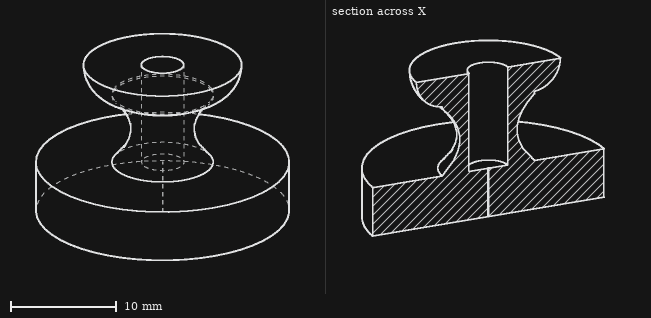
import cadquery as cq

base_diameter = 24.0
base_height = 5.0
total_height = 15.0
head_diameter = 15.0
head_height = 3.0
neck_end_diameter = 9.6
neck_waist_diameter = 6.0
collar_height = 0.2
bore_diameter = 4.0
pin_hole_diameter = 0.05

head_bottom = total_height - head_height
collar_bottom = head_bottom - collar_height
neck_middle = (base_height + collar_bottom) / 2
bore_floor = base_height


def revolve_about_z(profile):
    """Turn a closed profile, drawn as (radius, height), about the Z axis."""
    return profile.revolve(360, (0, 0, 0), (0, 1, 0))


def make_base():
    return cq.Workplane("XY").circle(base_diameter / 2).extrude(base_height)


def make_neck():
    """Waisted neck with a parabolic flank and a straight collar that runs up inside the head."""
    end_radius = neck_end_diameter / 2
    waist_radius = neck_waist_diameter / 2
    flank = [
        (waist_radius, neck_middle),
        (end_radius, collar_bottom),
    ]
    profile = (
        cq.Workplane("XZ")
        .moveTo(0, base_height)
        .lineTo(end_radius, base_height)
        .spline(flank, includeCurrent=True)
        .lineTo(end_radius, total_height)
        .lineTo(0, total_height)
        .close()
    )
    return revolve_about_z(profile)


def make_head():
    """Flat-topped bowl whose side is a quarter round over its full height."""
    head_radius = head_diameter / 2
    profile = (
        cq.Workplane("XZ")
        .moveTo(0, head_bottom)
        .lineTo(head_radius - head_height, head_bottom)
        .radiusArc((head_radius, total_height), -head_height)
        .lineTo(0, total_height)
        .close()
    )
    return revolve_about_z(profile)


def make_bore():
    """Blind bore down to the base, continued by a fine hole through the base."""
    bore = (
        cq.Workplane("XY")
        .workplane(offset=bore_floor)
        .circle(bore_diameter / 2)
        .extrude(total_height - bore_floor)
    )
    pin_hole = cq.Workplane("XY").circle(pin_hole_diameter / 2).extrude(total_height)
    return bore.union(pin_hole)


result = make_base().union(make_neck()).union(make_head()).cut(make_bore())